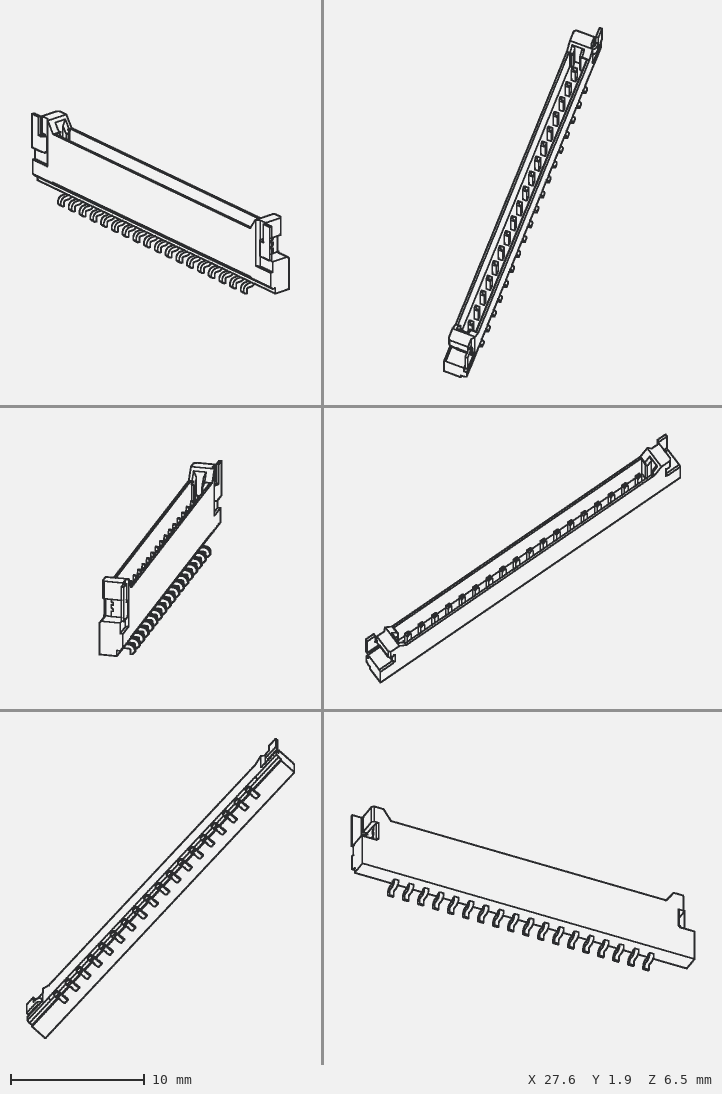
import cadquery as cq


length = 27.65
half_length = length / 2
total_height = 6.5
tail_drop = 0.92
top = total_height - tail_drop
body_depth = 1.82
wall_drop = 0.9
wall_top = top - wall_drop

post_inner_inset = 1.75
shoulder_foot_inset = 2.38

foot_depth = 1.35
ledge_flat_depth = 1.6
ledge_flat_z = 0.45
ledge_end_z = 0.66
ledge_middle_z = 0.74
ledge_middle_inset = 2.35

cavity_inset = 2.42
cavity_back_depth = 0.25
cavity_front_depth = 1.58
cavity_floor_z = 1.3
mouth_widening = 0.08
mouth_drop = 0.35

guide_inset = 1.93
guide_back_depth = 0.48
guide_front_depth = 1.02
guide_flare = 0.22
guide_flare_drop = 0.5
guide_corner_radius = 0.09

post_outer_inset = 0.82
lower_block_top = top - 2.9
hook_underside = top - 1.4
undercut_inset = 1.2
back_chamfer = 0.15
front_recess_depth = 1.6
front_recess_z = top - 3.75
recess_slope_start = 1.48
recess_slope_end = 1.72

tab_thickness = 0.2
tab_front_depth = 1.9
tab_upper_width = 0.75
tab_shoulder_z = top - 1.5
tab_bottom_z = top - 2.75
leg_outer_inset = 1.16
leg_back_depth = 0.58
bend_inner_radius = 0.14
barb_size = 0.17
barb_height = 0.28
barb_tip_height = 0.16
barb_bottoms = (top - 1.98, top - 2.48)

pin_count = 18
pin_pitch = 1.25
pin_width = 0.35
pin_thickness = 0.33
pin_back_depth = 0.75
pin_top_z = wall_top - 0.8
pin_tip_height = 0.25
pin_tip_side_taper = 0.1
pin_tip_front_taper = 0.2
tail_top_z = -0.16
tail_inner_radius = 0.1
tail_tip_chamfer = 0.18

overcut = 1.0


def at(inset):
    """X position of a point on the left half."""
    return inset - half_length


def block(x_range, depth_range, z_range):
    """Box given by its limits in X, depth and Z."""
    (x0, x1), (d0, d1), (z0, z1) = x_range, depth_range, z_range
    return cq.Workplane("XY").box(x1 - x0, d1 - d0, z1 - z0, centered=False).translate((x0, -d1, z0))


def both_ends(left):
    return left.union(left.mirror("YZ"))


def side_prism(points, x0, x1):
    """Outline of (depth, Z) points extruded from x0 to x1."""
    outline = [(-depth, z) for depth, z in points]
    return cq.Workplane("YZ").workplane(offset=x0).polyline(outline).close().extrude(x1 - x0)


def make_shoulder_cut():
    """Space above the left shoulder and long walls, from the post to the middle of the connector."""
    start_x = at(post_inner_inset)
    return (
        cq.Workplane("XZ", origin=(0, overcut, 0))
        .moveTo(start_x, top + overcut)
        .lineTo(start_x, top)
        .lineTo(at(shoulder_foot_inset), wall_top)
        .lineTo(0, wall_top)
        .lineTo(0, top + overcut)
        .close()
        .extrude(body_depth + 2 * overcut)
    )


def make_shell():
    """Solid housing with lowered long walls and the ledge under its front."""
    body = block((-half_length, half_length), (0, body_depth), (0, top))
    body = body.cut(both_ends(make_shoulder_cut()))

    def under_ledge(front_z):
        return [(foot_depth, -overcut), (foot_depth, ledge_flat_z),
                (ledge_flat_depth, ledge_flat_z), (body_depth, front_z),
                (body_depth + overcut, front_z), (body_depth + overcut, -overcut)]

    middle_x = at(ledge_middle_inset)
    body = body.cut(side_prism(under_ledge(ledge_end_z), -half_length, half_length))
    return body.cut(side_prism(under_ledge(ledge_middle_z), middle_x, -middle_x))


def make_cavity():
    """Mating cavity with a steeply flared mouth."""
    x0 = at(cavity_inset)
    mouth_z = wall_top - mouth_drop
    cavity = block((x0, -x0), (cavity_back_depth, cavity_front_depth), (cavity_floor_z, top + overcut))
    mouth = [(cavity_back_depth, mouth_z), (cavity_back_depth - mouth_widening, wall_top),
             (cavity_front_depth + mouth_widening, wall_top), (cavity_front_depth, mouth_z)]
    return cavity.union(side_prism(mouth, x0, -x0))


def make_guide_slot():
    """Slot in the left post, rounded into the cavity and flared along the shoulder."""
    x0, x1 = at(guide_inset), at(cavity_inset)
    depths = (guide_back_depth, guide_front_depth)
    slot = block((x0, x1), depths, (cavity_floor_z, top + overcut))

    radius = guide_corner_radius
    for depth, outward in zip(depths, (1, -1)):
        y = -depth
        corner = (
            cq.Workplane("XY", origin=(0, 0, cavity_floor_z))
            .moveTo(x1 - radius, y)
            .radiusArc((x1, y + outward * radius), outward * radius)
            .lineTo(x1, y)
            .close()
            .extrude(top - cavity_floor_z)
        )
        slot = slot.union(corner)

    def flare_section(inset):
        slope = wall_drop / (shoulder_foot_inset - post_inner_inset)
        edge_z = top - slope * (inset - post_inner_inset)
        points = [(guide_back_depth, edge_z - guide_flare_drop), (guide_back_depth - guide_flare, edge_z),
                  (guide_front_depth + guide_flare, edge_z), (guide_front_depth, edge_z - guide_flare_drop)]
        return cq.Wire.makePolygon([cq.Vector(at(inset), -depth, z) for depth, z in points], close=True)

    flare = cq.Solid.makeLoft([flare_section(guide_inset), flare_section(cavity_inset)], True)
    return slot.union(cq.Workplane(flare))


def make_back_chamfer():
    """Bevel along the back edges of the left end: the block's top edge and the post's outer edge."""
    slope = [(0, lower_block_top - back_chamfer), (back_chamfer, lower_block_top),
             (back_chamfer, lower_block_top + back_chamfer), (0, lower_block_top + back_chamfer)]
    bevel = side_prism(slope, -half_length, at(undercut_inset))

    def post_edge(inset, z0, z1):
        x = at(inset)
        return (
            cq.Workplane("XY", origin=(0, 0, z0))
            .polyline([(x, 0), (x + back_chamfer, 0), (x, -back_chamfer)]).close()
            .extrude(z1 - z0)
        )

    bevel = bevel.union(post_edge(post_outer_inset, hook_underside, top))
    return bevel.union(post_edge(undercut_inset, lower_block_top, hook_underside))


def make_end_cut():
    """Material removed outside the left post to leave the hook, the block and the tab recess."""
    all_depths = (-overcut, body_depth + overcut)
    outside = (-half_length - overcut, at(post_outer_inset))
    undercut = (-half_length - overcut, at(undercut_inset))
    cut = block(outside, all_depths, (lower_block_top, top + overcut))
    cut = cut.union(block(undercut, all_depths, (lower_block_top, hook_underside)))
    recess = (
        cq.Workplane("XY", origin=(0, 0, front_recess_z))
        .moveTo(-half_length - overcut, -front_recess_depth)
        .lineTo(at(recess_slope_start), -front_recess_depth)
        .lineTo(at(recess_slope_end), -body_depth)
        .lineTo(at(recess_slope_end), -body_depth - overcut)
        .lineTo(-half_length - overcut, -body_depth - overcut)
        .close()
        .extrude(top + overcut - front_recess_z)
    )
    return cut.union(recess).union(make_back_chamfer())


def make_tab():
    """Bent sheet tab of the left end: front plate, rounded bend and a barbed leg into the post."""
    front_y = -tab_front_depth
    inner_y = front_y + tab_thickness
    leg_x = at(leg_outer_inset)
    leg_inner_x = leg_x + tab_thickness
    outer_radius = bend_inner_radius + tab_thickness
    bend_x = leg_x - bend_inner_radius
    bend_y = inner_y + bend_inner_radius
    strip = (
        cq.Workplane("XY", origin=(0, 0, tab_bottom_z))
        .moveTo(-half_length, front_y)
        .lineTo(bend_x, front_y)
        .radiusArc((leg_inner_x, bend_y), -outer_radius)
        .lineTo(leg_inner_x, -leg_back_depth)
        .lineTo(leg_x, -leg_back_depth)
        .lineTo(leg_x, bend_y)
        .radiusArc((bend_x, inner_y), bend_inner_radius)
        .lineTo(-half_length, inner_y)
        .close()
        .extrude(tab_shoulder_z - tab_bottom_z)
    )
    leg = block((leg_x, leg_inner_x), (leg_back_depth, front_recess_depth),
                (lower_block_top, hook_underside))
    upper_plate = block((-half_length, at(tab_upper_width)),
                        (tab_front_depth - tab_thickness, tab_front_depth), (tab_shoulder_z, top))
    tab = strip.union(leg).union(upper_plate)
    for z in barb_bottoms:
        notch = [(leg_back_depth, z), (leg_back_depth + barb_size, z),
                 (leg_back_depth + barb_size, z + barb_tip_height),
                 (leg_back_depth, z + barb_height)]
        tab = tab.cut(side_prism(notch, leg_x, at(undercut_inset)))
    return tab


def make_pin(x):
    """Rectangular pin with a tapered tip and a gull-wing solder tail."""
    back_y = -pin_back_depth
    front_y = back_y - pin_thickness
    tail_front_y = -tab_front_depth
    tail_back_y = tail_front_y + pin_thickness
    tail_low_z = tail_top_z - pin_thickness
    outer = tail_inner_radius + pin_thickness
    inner = tail_inner_radius
    pin = (
        cq.Workplane("YZ", origin=(x - pin_width / 2, 0, 0))
        .moveTo(back_y, pin_top_z)
        .lineTo(back_y, tail_low_z + outer)
        .radiusArc((back_y - outer, tail_low_z), outer)
        .lineTo(tail_back_y + inner, tail_low_z)
        .radiusArc((tail_back_y, tail_low_z - inner), -inner)
        .lineTo(tail_back_y, -tail_drop)
        .lineTo(tail_front_y + tail_tip_chamfer, -tail_drop)
        .lineTo(tail_front_y, -tail_drop + tail_tip_chamfer)
        .lineTo(tail_front_y, tail_top_z - outer)
        .radiusArc((tail_front_y + outer, tail_top_z), outer)
        .lineTo(front_y - inner, tail_top_z)
        .radiusArc((front_y, tail_top_z + inner), -inner)
        .lineTo(front_y, pin_top_z - pin_tip_height)
        .lineTo(front_y + pin_tip_front_taper, pin_top_z)
        .close()
        .extrude(pin_width)
    )
    side = pin_width / 2
    for sign in (-1, 1):
        taper = (
            cq.Workplane("XZ")
            .polyline([(x + sign * side, pin_top_z - pin_tip_height), (x + sign * side, pin_top_z),
                       (x + sign * (side - pin_tip_side_taper), pin_top_z)]).close()
            .extrude(body_depth)
        )
        pin = pin.cut(taper)
    return pin


result = make_shell().cut(make_cavity())
for left_cut in (make_guide_slot(), make_end_cut()):
    result = result.cut(both_ends(left_cut))
result = result.union(both_ends(make_tab()))
for index in range(pin_count):
    result = result.union(make_pin((index - (pin_count - 1) / 2) * pin_pitch))